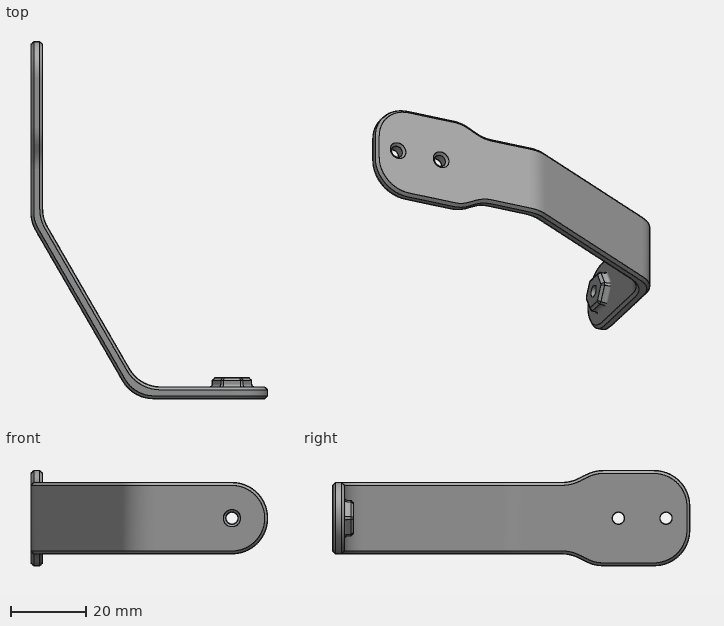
import cadquery as cq
import math

length_x = 63.09
length_y = 95.14

thickness = 3.175
strip_width = 19.05
bend_radius = 9.525
slant_angle = 30.0
foot_corner_x = 27.2
edge_chamfer = 0.79

head_width = 25.4
head_corner_radius = 9.525
taper_start = 25.4
taper_end = 31.75
taper_radius = 9.525

hole_diameter = 3.175
hole_chamfer = 0.7
head_hole_offsets = (6.35, 19.05)

boss_across_flats = 9.525
boss_height = 2.45
boss_corner_chamfer = 0.46
boss_chamfer = 0.75
boss_root_fillet = 0.7
boss_corner_diameter = boss_across_flats / math.cos(math.radians(30))

foot_end_radius = strip_width / 2
foot_center_x = length_x - foot_end_radius
arm_corner_y = foot_corner_x / math.tan(math.radians(slant_angle))
tolerance = 1e-4


def make_bent_strip():
    """Head-wide strip following the two bends, extruded along Z."""
    half_arm_turn = math.radians(slant_angle / 2)
    half_foot_turn = math.radians((90 - slant_angle) / 2)
    inner_foot_x = foot_corner_x + thickness * math.tan(half_foot_turn)
    inner_arm_y = arm_corner_y + thickness * math.tan(half_arm_turn)
    strip = (
        cq.Workplane("XY")
        .workplane(offset=-head_width / 2)
        .moveTo(0, length_y)
        .lineTo(0, arm_corner_y)
        .lineTo(foot_corner_x, 0)
        .lineTo(length_x, 0)
        .lineTo(length_x, thickness)
        .lineTo(inner_foot_x, thickness)
        .lineTo(thickness, inner_arm_y)
        .lineTo(thickness, length_y)
        .close()
        .extrude(head_width)
    )
    for x, y in (
        (0, arm_corner_y),
        (foot_corner_x, 0),
        (thickness, inner_arm_y),
        (inner_foot_x, thickness),
    ):
        fold = cq.selectors.NearestToPointSelector((x, y, 0))
        strip = strip.edges(fold).fillet(bend_radius)
    return strip


def make_head_outline():
    """Prism along X: rounded wide end tapering to the strip width."""
    half_head = head_width / 2
    half_strip = strip_width / 2
    start_y = length_y - taper_start
    end_y = length_y - taper_end
    outline = (
        cq.Workplane("YZ")
        .polyline([
            (0, -half_strip),
            (end_y, -half_strip),
            (start_y, -half_head),
            (length_y, -half_head),
            (length_y, half_head),
            (start_y, half_head),
            (end_y, half_strip),
            (0, half_strip),
        ])
        .close()
        .extrude(length_x)
    )
    for side in (-1, 1):
        for y, z, radius in (
            (length_y, side * half_head, head_corner_radius),
            (start_y, side * half_head, taper_radius),
            (end_y, side * half_strip, taper_radius),
        ):
            corner = cq.selectors.NearestToPointSelector((length_x / 2, y, z))
            outline = outline.edges(corner).fillet(radius)
    return outline


def make_foot_outline():
    """Prism along Y that rounds the free end of the foot."""
    outline = (
        cq.Workplane("XZ")
        .rect(2 * foot_center_x, head_width)
        .extrude(-length_y)
    )
    round_end = (
        cq.Workplane("XZ")
        .center(foot_center_x, 0)
        .circle(foot_end_radius)
        .extrude(-length_y)
    )
    return outline.union(round_end)


def make_boss():
    """Hexagonal boss with corners toward +X and -X."""
    return (
        cq.Workplane("XZ", origin=(foot_center_x, thickness, 0))
        .polygon(6, boss_corner_diameter)
        .extrude(-boss_height)
        .edges("|Y")
        .chamfer(boss_corner_chamfer)
        .faces(">Y")
        .chamfer(boss_chamfer)
    )


def make_hole(start, axis, depth):
    """Through-hole cutter, chamfered where it enters the outer face."""
    radius = hole_diameter / 2
    bore = cq.Solid.makeCylinder(radius, depth, start, axis)
    mouth = cq.Solid.makeCone(radius + hole_chamfer, radius, hole_chamfer, start, axis)
    return cq.Workplane(bore).union(cq.Workplane(mouth))


def make_foot_hole():
    """Hole through the foot and the boss."""
    start = cq.Vector(foot_center_x, 0, 0)
    return make_hole(start, cq.Vector(0, 1, 0), thickness + boss_height)


def make_head_hole(offset):
    """Hole through the head at the given distance from its +Y end."""
    start = cq.Vector(0, length_y - offset, 0)
    return make_hole(start, cq.Vector(1, 0, 0), thickness)


def is_boss_root_edge(edge):
    """True for the edges where the boss meets the inner face of the foot."""
    center = edge.Center()
    on_face = abs(center.y - thickness) < tolerance
    near_boss = math.hypot(center.x - foot_center_x, center.z) < boss_corner_diameter / 2
    return on_face and near_boss


def is_rim_edge(edge):
    """True for the outline edges; bend lines span the strip and seams span the thickness."""
    length = edge.Length()
    return abs(length - thickness) > tolerance and abs(length - strip_width) > tolerance


bracket = make_bent_strip().intersect(make_head_outline()).intersect(make_foot_outline())
rim_edges = [edge for edge in bracket.edges().vals() if is_rim_edge(edge)]
bracket = bracket.newObject(rim_edges).chamfer(edge_chamfer)
bracket = bracket.union(make_boss())
root_edges = [edge for edge in bracket.edges().vals() if is_boss_root_edge(edge)]
bracket = bracket.newObject(root_edges).fillet(boss_root_fillet)
bracket = bracket.cut(make_foot_hole())
for hole_offset in head_hole_offsets:
    bracket = bracket.cut(make_head_hole(hole_offset))

result = bracket